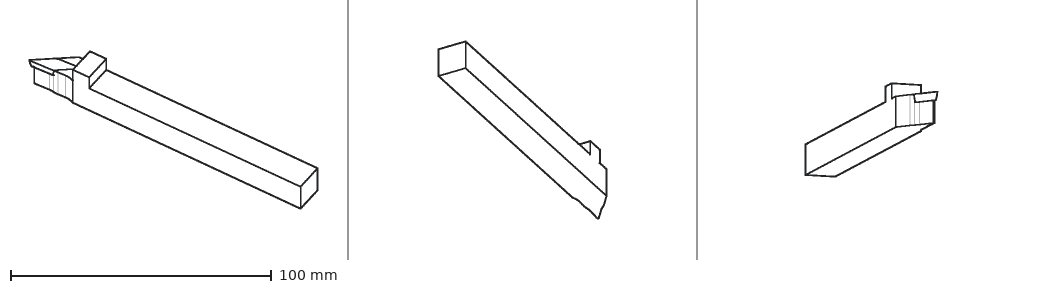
import cadquery as cq
import math

overall_length = 125.0
shank_width = 12.0
shank_height = 12.0
head_length = 7.5
head_rise = 6.0

tip_reach = 20.5
tip_y = 0.0
shank_length = overall_length - tip_reach
lead_angle = 3.0
insert_corner_angle = 35.0
insert_inscribed_diameter = 6.35
insert_thickness = 3.18
insert_clearance_angle = 7.0
insert_corner_radius = 0.2
corner_runout = 0.99

nose_inset = 0.5
blend_radius = 8.5
blunt_setback = 2.35
relief_length = 4.1

insert_side = insert_inscribed_diameter / math.sin(math.radians(insert_corner_angle))
upper_angle = lead_angle + insert_corner_angle
bisector_angle = lead_angle + insert_corner_angle / 2
obtuse_corner_angle = 180 - insert_corner_angle


def polar(origin, distance, angle):
    """Point at a distance from the origin, along an angle measured from +X in degrees."""
    x, y = origin
    return (
        x + distance * math.cos(math.radians(angle)),
        y + distance * math.sin(math.radians(angle)),
    )


tip = (-tip_reach, tip_y)
front_corner = polar(tip, insert_side, lead_angle)
rear_corner = polar(tip, insert_side, upper_angle)
inner_corner = polar(front_corner, insert_side, upper_angle)


def on_lower_edge(distance, inset=0):
    """Point along the lower cutting edge, moved inward by the inset."""
    return polar(polar(tip, distance, lead_angle), inset, lead_angle + 90)


def on_upper_edge(distance, inset=0):
    """Point along the upper cutting edge, moved inward by the inset."""
    return polar(polar(tip, distance, upper_angle), inset, upper_angle - 90)


def corner_trim(corner, corner_angle, inward_angle):
    """Material outside the conical round of one corner, which narrows downwards."""
    half_angle = math.radians(corner_angle / 2)
    tangent_length = insert_corner_radius / math.tan(half_angle)
    cone_height = insert_corner_radius / math.tan(math.radians(insert_clearance_angle))
    round_depth = corner_runout * cone_height
    center = polar(corner, insert_corner_radius / math.sin(half_angle), inward_angle)
    kite = [
        corner,
        polar(corner, tangent_length, inward_angle - corner_angle / 2),
        center,
        polar(corner, tangent_length, inward_angle + corner_angle / 2),
    ]
    prism = cq.Workplane("XY", origin=(0, 0, shank_height)).polyline(kite).close().extrude(-round_depth)
    cone = cq.Solid.makeCone(
        insert_corner_radius,
        insert_corner_radius * (1 - corner_runout),
        round_depth,
        pnt=cq.Vector(*center, shank_height),
        dir=cq.Vector(0, 0, -1),
    )
    return prism.cut(cq.Workplane(cone))


def make_insert():
    body = (
        cq.Workplane("XY", origin=(0, 0, shank_height))
        .polyline([tip, front_corner, inner_corner, rear_corner])
        .close()
        .extrude(-insert_thickness, taper=insert_clearance_angle)
    )
    corners = [
        (tip, insert_corner_angle, bisector_angle),
        (front_corner, obtuse_corner_angle, bisector_angle + 90),
        (inner_corner, insert_corner_angle, bisector_angle + 180),
        (rear_corner, obtuse_corner_angle, bisector_angle - 90),
    ]
    for corner, corner_angle, inward_angle in corners:
        body = body.cut(corner_trim(corner, corner_angle, inward_angle))
    return body


def make_holder(insert):
    blend_angle = math.acos(1 - nose_inset / (2 * blend_radius))
    blend_half_length = blend_radius * math.sin(blend_angle)
    blend_start = insert_side - blend_half_length
    blend_end = insert_side + blend_half_length
    relief_start = (tip_reach - relief_length) / math.cos(math.radians(lead_angle))
    upper_end = (shank_width - tip_y) / math.sin(math.radians(upper_angle))

    corner_angle = math.radians(insert_corner_angle)
    blunt_upper_distance = (
        blunt_setback - nose_inset * math.sin(corner_angle)
    ) / math.cos(corner_angle)

    profile = (
        cq.Workplane("XY")
        .moveTo(*on_lower_edge(blunt_setback, nose_inset))
        .lineTo(*on_lower_edge(blend_start, nose_inset))
        .tangentArcPoint(on_lower_edge(insert_side, nose_inset / 2), relative=False)
        .tangentArcPoint(on_lower_edge(blend_end), relative=False)
        .lineTo(*on_lower_edge(relief_start))
        .tangentArcPoint((0, 0), relative=False)
        .lineTo(shank_length, 0)
        .lineTo(shank_length, shank_width)
        .lineTo(*on_upper_edge(upper_end))
        .lineTo(*on_upper_edge(blend_end))
        .tangentArcPoint(on_upper_edge(insert_side, nose_inset / 2), relative=False)
        .tangentArcPoint(on_upper_edge(blend_start, nose_inset), relative=False)
        .lineTo(*on_upper_edge(blunt_upper_distance, nose_inset))
        .close()
    )
    shank = profile.extrude(shank_height)
    head = cq.Workplane("XY").box(
        head_length, shank_width, shank_height + head_rise, centered=False
    )
    return shank.union(head).cut(insert)


insert = make_insert()
holder = make_holder(insert)

result = cq.Compound.makeCompound([holder.solids().val(), insert.solids().val()])